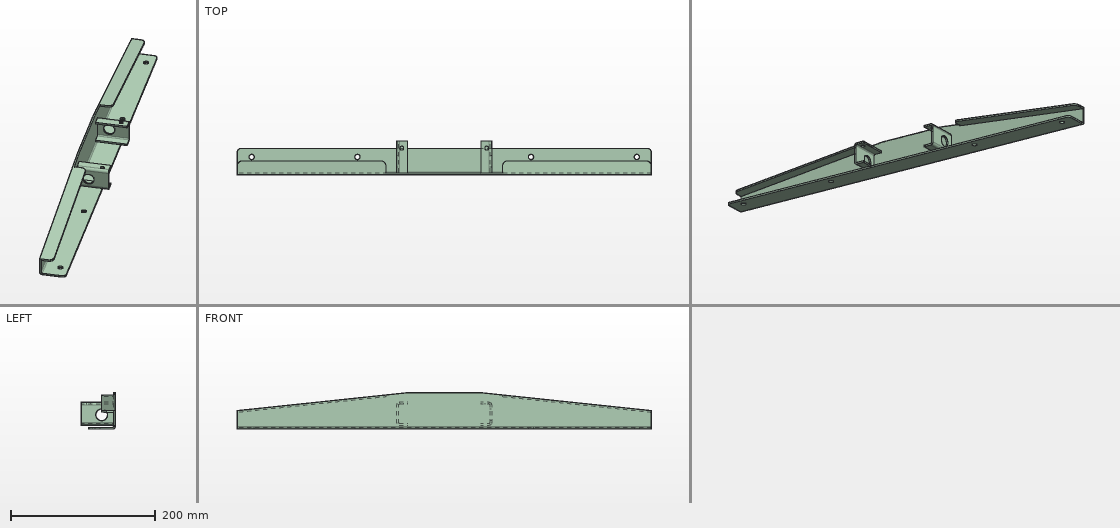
import cadquery as cq
import math

length = 575.0
sheet = 2.5
bend_inner_radius = 1.5
bend_outer_radius = bend_inner_radius + sheet

peak_height = 51.0
end_height = 26.0
peak_half_width = 50.0

base_depth = 37.0
base_corner_radius = 5.0
mount_hole_diameter = 7.0
mount_hole_y = 25.0
mount_hole_offsets = (120.5, 267.5)

top_flange_depth = 19.5
top_flange_inner_x = 81.0
top_flange_corner_radius = 7.0

bracket_outer_x = 66.0
bracket_width = 15.0
bracket_bottom = 5.5
bracket_height = 32.0
bracket_back_y = 47.5
cable_hole_diameter = 16.0
cable_hole_y = 19.0
cable_hole_z = 20.0
screw_hole_diameter = 5.5
screw_hole_y = 37.3
screw_hole_inset = 7.0

half_length = length / 2
slope = (peak_height - end_height) / (half_length - peak_half_width)
sheet_drop = sheet * math.hypot(1, slope)


def roof_height(x):
    """Height of the sloping top edge at a distance x from the middle."""
    return end_height + slope * (half_length - x)


def make_angle():
    """Web and base flange joined by a bend, with the top of the web cut to its outline."""
    section = (
        cq.Workplane("YZ")
        .moveTo(bend_outer_radius, 0)
        .lineTo(base_depth, 0)
        .lineTo(base_depth, sheet)
        .lineTo(bend_outer_radius, sheet)
        .radiusArc((sheet, bend_outer_radius), bend_inner_radius)
        .lineTo(sheet, peak_height)
        .lineTo(0, peak_height)
        .lineTo(0, bend_outer_radius)
        .radiusArc((bend_outer_radius, 0), -bend_outer_radius)
        .close()
        .extrude(half_length, both=True)
    )
    outline = (
        cq.Workplane("XZ")
        .polyline([
            (-half_length, 0),
            (half_length, 0),
            (half_length, end_height),
            (peak_half_width, peak_height),
            (-peak_half_width, peak_height),
            (-half_length, end_height),
        ])
        .close()
        .extrude(-base_depth)
    )
    angle = section.intersect(outline)
    angle = angle.edges("|Z and >Y").fillet(base_corner_radius)
    hole_points = [(side * x, mount_hole_y) for side in (-1, 1) for x in mount_hole_offsets]
    holes = cq.Workplane("XY").pushPoints(hole_points).circle(mount_hole_diameter / 2).extrude(sheet)
    return angle.cut(holes)


def make_top_flange():
    """Right-hand sloping flange with rounded rear corners."""
    inner_z = roof_height(top_flange_inner_x)
    flange = (
        cq.Workplane("XZ")
        .polyline([
            (top_flange_inner_x, inner_z),
            (half_length, end_height),
            (half_length, end_height - sheet_drop),
            (top_flange_inner_x, inner_z - sheet_drop),
        ])
        .close()
        .extrude(-top_flange_depth)
    )
    return flange.edges("|Z and >Y").fillet(top_flange_corner_radius)


def make_bracket():
    """Right-hand C-shaped bracket with a cable hole in its web and a screw hole in its top."""
    depth = bracket_back_y - sheet
    inner_x = bracket_outer_x - bracket_width
    blank = (
        cq.Workplane("XY")
        .box(bracket_width, depth, bracket_height, centered=False)
        .translate((inner_x, sheet, bracket_bottom))
        .edges("|Y and >X")
        .fillet(bend_outer_radius)
    )
    channel = (
        cq.Workplane("XY")
        .box(bracket_width - sheet, depth, bracket_height - 2 * sheet, centered=False)
        .translate((inner_x, sheet, bracket_bottom + sheet))
        .edges("|Y and >X")
        .fillet(bend_inner_radius)
    )
    cable_hole = (
        cq.Workplane("YZ", origin=(inner_x, cable_hole_y, cable_hole_z))
        .circle(cable_hole_diameter / 2)
        .extrude(bracket_width)
    )
    bracket_top = bracket_bottom + bracket_height
    screw_hole = (
        cq.Workplane("XY", origin=(bracket_outer_x - screw_hole_inset, screw_hole_y, bracket_top))
        .circle(screw_hole_diameter / 2)
        .extrude(-sheet)
    )
    return blank.cut(channel).cut(cable_hole).cut(screw_hole)


result = make_angle()
for right_part in (make_top_flange(), make_bracket()):
    result = result.union(right_part).union(right_part.mirror("YZ"))